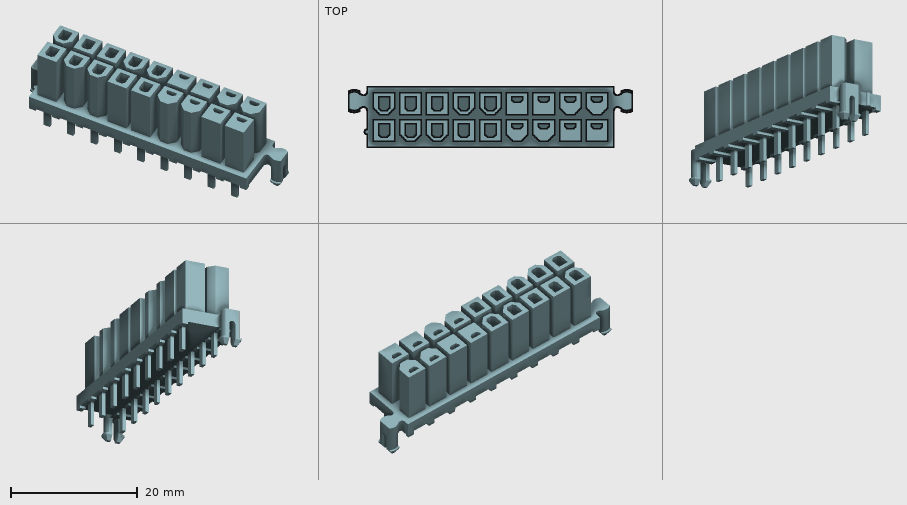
import cadquery as cq
import math

plate_length = 38.98
plate_width = 9.6
plate_thickness = 2.15
pad_drop = 0.4

columns = 9
column_span = 33.6
pitch = column_span / (columns - 1)
column_xs = [i * pitch - column_span / 2 for i in range(columns)]
rear_y = pitch / 2
front_y = -pitch / 2

tower_size = 3.4
tower_height = 8.83
tower_chamfer = 1.05
rear_chamfered = (0, 3, 4, 7, 8)
full_socket_columns = 5

socket_width = 1.75
socket_length = 2.15
short_socket_length = 0.85
socket_chamfer = 0.4
socket_floor = 0

pin_width = 1.1
pin_thickness = 0.6
pin_reach = 6.0
front_pin_y = -3.6
rear_pin_y = 1.95

pad_gap = 2.9
front_pad_edge = front_pin_y - pin_thickness / 2
rear_pad_edge = rear_pin_y - pin_thickness / 2

lock_x = 21.5
lock_y = 2.5
lock_half_length = 0.9
post_radius = 1.5
barb_radius = 1.8
barb_top = 4.7
barb_taper_top = 4.97
lock_reach = 5.82
barb_taper = 0.6
slot_width = 1.05
slot_top_depth = 1.95
neck_half_width = 0.95
neck_fillet = 0.55
neck_flare = 0.45

key_radius = 0.4
key_y = -2.35


def box(x0, x1, y0, y1, z0, z1):
    """Axis-aligned block between two opposite corners."""
    return cq.Workplane("XY").box(x1 - x0, y1 - y0, z1 - z0, centered=False).translate((x0, y0, z0))


def front_chamfered(x, y, width, length, chamfer, z, height):
    """Rectangular prism, centred on X, whose two -Y corners are cut at 45 degrees."""
    block = box(x - width / 2, x + width / 2, y - length / 2, y + length / 2, z, z + height)
    return block.edges("|Z and <Y").chamfer(chamfer) if chamfer else block


def plate():
    """Base plate with two rows of standoff pads and the key rib."""
    body = box(-plate_length / 2, plate_length / 2, -plate_width / 2, plate_width / 2, -plate_thickness, 0)
    pad_bottom = -plate_thickness - pad_drop
    half_width = plate_width / 2
    starts = [-plate_length / 2] + [x + pad_gap / 2 for x in column_xs]
    ends = [x - pad_gap / 2 for x in column_xs] + [plate_length / 2]
    for x0, x1 in zip(starts, ends):
        body = body.union(box(x0, x1, -half_width, front_pad_edge, pad_bottom, 0))
        body = body.union(box(x0, x1, rear_pad_edge, half_width, pad_bottom, 0))
    key = cq.Workplane("XY").center(-plate_length / 2, key_y).circle(key_radius).extrude(-plate_thickness)
    return body.union(key)


def tower(column, y):
    """Contact housing with its blind socket."""
    x = column_xs[column]
    is_rear = y == rear_y
    chamfered_at_rear = column in rear_chamfered
    chamfer = tower_chamfer if chamfered_at_rear == is_rear else 0
    block = front_chamfered(x, y, tower_size, tower_size, chamfer, 0, tower_height)
    length = socket_length if column < full_socket_columns else short_socket_length
    socket_y = y + (socket_length - length) / 2
    socket = front_chamfered(x, socket_y, socket_width, length, socket_chamfer,
                             socket_floor, tower_height - socket_floor)
    return block.cut(socket)


def pin(x, y):
    """Flat solder tail reaching down from the plate top."""
    half_width = pin_width / 2
    half_thickness = pin_thickness / 2
    return box(x - half_width, x + half_width, y - half_thickness, y + half_thickness, -pin_reach, 0)


def lock_outline(radius, z):
    """Circle trimmed flat on both X sides, drawn at height z."""
    half_chord = math.sqrt(radius**2 - lock_half_length**2)
    left = lock_x - lock_half_length
    right = lock_x + lock_half_length
    return (
        cq.Workplane("XY", origin=(0, 0, z))
        .moveTo(left, lock_y - half_chord)
        .threePointArc((lock_x, lock_y - radius), (right, lock_y - half_chord))
        .lineTo(right, lock_y + half_chord)
        .threePointArc((lock_x, lock_y + radius), (left, lock_y + half_chord))
        .close()
    )


def neck():
    """Plate-thick web joining the +X lock to the plate, flared at both of its ends."""
    plate_end = plate_length / 2
    lock_face = lock_x - lock_half_length
    half_chord = math.sqrt(post_radius**2 - lock_half_length**2)
    fillet_inset = neck_fillet * (1 - math.cos(math.radians(45)))
    fillet_middle = (plate_end + fillet_inset, neck_half_width + fillet_inset)
    fillet_end = (plate_end + neck_fillet, neck_half_width)
    flare_start = lock_face - neck_flare
    half = (
        cq.Workplane("XY", origin=(0, lock_y, 0))
        .moveTo(plate_end, 0)
        .lineTo(plate_end, neck_half_width + neck_fillet)
        .threePointArc(fillet_middle, fillet_end)
        .lineTo(flare_start, neck_half_width)
        .lineTo(lock_face, half_chord)
        .lineTo(lock_face, 0)
        .close()
        .extrude(-plate_thickness)
    )
    return half.union(half.mirror("XZ", basePointVector=(0, lock_y, 0)))


def board_lock():
    """Split, barbed post at the +X end."""
    tip_height = lock_reach - barb_taper_top
    taper_angle = math.degrees(math.atan2(barb_taper, tip_height))
    post = lock_outline(post_radius, 0).extrude(-barb_taper_top)
    collar = lock_outline(barb_radius, -barb_top).extrude(barb_top - barb_taper_top)
    tip = lock_outline(barb_radius, -barb_taper_top).extrude(-tip_height, taper=taper_angle)
    slot_radius = slot_width / 2
    arch_z = -slot_top_depth - slot_radius
    x0 = lock_x - lock_half_length
    x1 = lock_x + lock_half_length
    slot = box(x0, x1, lock_y - slot_radius, lock_y + slot_radius, -lock_reach, arch_z)
    arch = cq.Workplane("YZ", origin=(x0, lock_y, arch_z)).circle(slot_radius).extrude(x1 - x0)
    return post.union(collar).union(tip).cut(slot).cut(arch).union(neck())


result = plate()
for row_y, pin_y in ((front_y, front_pin_y), (rear_y, rear_pin_y)):
    for column, column_x in enumerate(column_xs):
        result = result.union(tower(column, row_y))
        result = result.union(pin(column_x, pin_y))

right_lock = board_lock()
result = result.union(right_lock).union(right_lock.mirror("YZ"))